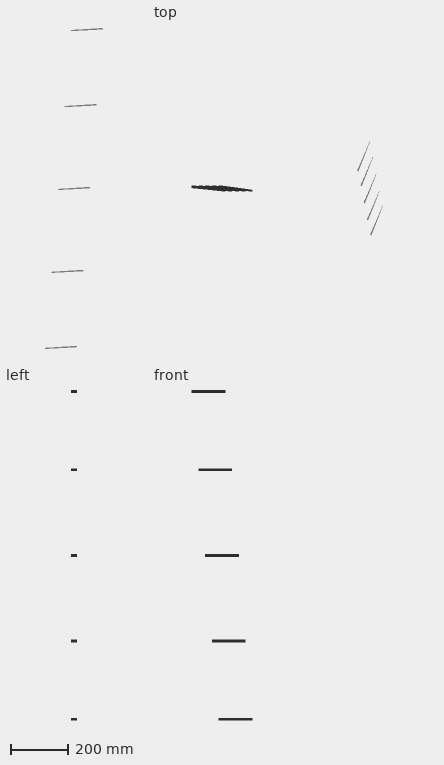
import cadquery as cq
import math

CHORD = 114.2
INCIDENCE = 6.05
NOSE_HEIGHT = 4.6
TAIL_HEIGHT = 0.8
UNDERSIDE_RISE = 0.45
BACK_RISE = 0.35
RIB_THICKNESS = 4.0
OVERALL_LENGTH = 208.49
END_BAY = 275.0
MIDDLE_BAY = 300.0

BAYS = [END_BAY, MIDDLE_BAY, MIDDLE_BAY, END_BAY]

TILT = math.radians(INCIDENCE)
RIB_LENGTH = CHORD * math.cos(TILT) + TAIL_HEIGHT * math.sin(TILT)
SWEEP_STEP = (OVERALL_LENGTH - RIB_LENGTH) / len(BAYS)


def make_rib():
    """Tapered, slightly cambered section with its lower nose corner on the Z axis."""
    mid_chord = CHORD / 2
    back_mid_height = (NOSE_HEIGHT + TAIL_HEIGHT) / 2 + BACK_RISE
    section = (
        cq.Workplane("XY")
        .moveTo(0, 0)
        .threePointArc((mid_chord, UNDERSIDE_RISE), (CHORD, 0))
        .lineTo(CHORD, TAIL_HEIGHT)
        .threePointArc((mid_chord, back_mid_height), (0, NOSE_HEIGHT))
        .close()
    )
    level_rib = section.extrude(RIB_THICKNESS)
    return level_rib.rotate((0, 0, 0), (0, 0, 1), -INCIDENCE)


ribs = []
for index in range(len(BAYS) + 1):
    height = sum(BAYS[:index])
    ribs.append(make_rib().translate((-index * SWEEP_STEP, 0, height)))

result = cq.Compound.makeCompound([rib.val() for rib in ribs])